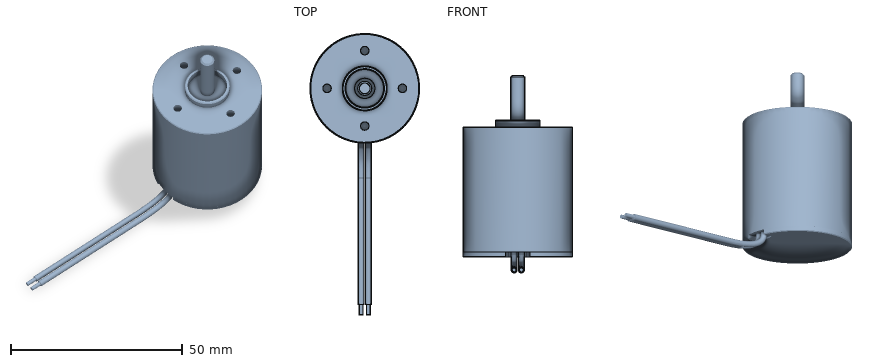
import cadquery as cq

overall_length = 82.0

body_radius = 16.0
body_height = 38.0
cap_thickness = 1.5
body_edge_chamfer = 0.25

collar_radius = 6.6
collar_height = 2.0
collar_edge_chamfer = 0.25
recess_radius = 5.7
recess_floor_chamfer = 0.25
recess_depth = 2.55
recess_floor_z = body_height + collar_height - recess_depth

hole_count = 4
hole_radius = 1.2
hole_circle_radius = 11.0
hole_depth = 3.3

shaft_radius = 2.05
shaft_projection = 15.0
shaft_tip_chamfer = 0.5
bearing_radius = 2.95
bearing_depth = 3.3

notch_width = 7.2
notch_corner_radius = 1.0
notch_back_y = -12.3

wire_count = 2
wire_diameter = 1.7
wire_spacing = 2.1
wire_outlet_y = -13.6
wire_stub_length = 0.6
wire_bottom_z = -4.6
wire_axis_z = wire_bottom_z + wire_diameter / 2
bend_end_y = -26.1
bend_drop_pull = 3.45
bend_run_pull = 7.0
core_diameter = 1.15
core_length = 3.0
wire_tip_y = body_radius - overall_length


def make_housing():
    """Solid drum with collar, recess, mounting holes and the pocket for bearing and shaft."""
    drum = (
        cq.Workplane("XY", origin=(0, 0, cap_thickness))
        .circle(body_radius)
        .extrude(body_height - cap_thickness)
        .faces(">Z").edges().chamfer(body_edge_chamfer)
    )
    top = cq.Workplane("XY", origin=(0, 0, body_height))
    collar = top.circle(collar_radius).extrude(collar_height).faces(">Z").edges().chamfer(collar_edge_chamfer)
    holes = top.polarArray(hole_circle_radius, 0, 360, hole_count).circle(hole_radius).extrude(-hole_depth)
    recess_floor = cq.Workplane("XY", origin=(0, 0, recess_floor_z))
    recess = recess_floor.circle(recess_radius).extrude(recess_depth)
    recess = recess.faces("<Z").edges().chamfer(recess_floor_chamfer)
    bearing_pocket = recess_floor.circle(bearing_radius).extrude(-bearing_depth)
    return drum.union(collar).cut(recess).cut(holes).cut(bearing_pocket)


def make_end_cap():
    """Disc with a round-cornered notch that opens through its front rim."""
    disc = cq.Workplane("XY").circle(body_radius).extrude(cap_thickness)
    disc = disc.faces("<Z").edges().chamfer(body_edge_chamfer)
    notch_length = body_radius + notch_back_y
    notch = (
        cq.Workplane("XY", origin=(0, notch_back_y - notch_length / 2, 0))
        .rect(notch_width, notch_length)
        .extrude(cap_thickness)
        .edges("|Z and >Y").fillet(notch_corner_radius)
    )
    return disc.cut(notch)


def make_bearing():
    """Plain ring let into the recess floor."""
    return (
        cq.Workplane("XY", origin=(0, 0, recess_floor_z))
        .circle(bearing_radius)
        .circle(shaft_radius)
        .extrude(-bearing_depth)
    )


def make_shaft():
    """Round shaft from the pocket floor to its chamfered tip."""
    shaft_foot_z = recess_floor_z - bearing_depth
    return (
        cq.Workplane("XY", origin=(0, 0, shaft_foot_z))
        .circle(shaft_radius)
        .extrude(body_height + shaft_projection - shaft_foot_z)
        .faces(">Z").edges().chamfer(shaft_tip_chamfer)
    )


def make_wire(x):
    """Vertical stub, bend and straight run of insulation, then the thinner bare core."""
    insulation_end_y = wire_tip_y + core_length
    bend_start_z = cap_thickness - wire_stub_length
    bend_points = [
        (wire_outlet_y, bend_start_z - bend_drop_pull),
        (bend_end_y + bend_run_pull, wire_axis_z),
        (bend_end_y, wire_axis_z),
    ]
    path = (
        cq.Workplane("YZ", origin=(x, 0, 0))
        .moveTo(wire_outlet_y, cap_thickness)
        .lineTo(wire_outlet_y, bend_start_z)
        .bezier(bend_points, includeCurrent=True)
        .lineTo(insulation_end_y, wire_axis_z)
    )
    insulation = (
        cq.Workplane("XY", origin=(x, wire_outlet_y, cap_thickness))
        .circle(wire_diameter / 2)
        .sweep(path)
    )
    core = (
        cq.Workplane("XZ", origin=(x, insulation_end_y, wire_axis_z))
        .circle(core_diameter / 2)
        .extrude(core_length)
    )
    return insulation.union(core)


housing = make_housing()
end_cap = make_end_cap()
bearing = make_bearing()
shaft = make_shaft()
wires = [make_wire((i - (wire_count - 1) / 2) * wire_spacing) for i in range(wire_count)]

result = cq.Compound.makeCompound(
    [housing.val(), end_cap.val(), bearing.val(), shaft.val(), *[wire.val() for wire in wires]]
)